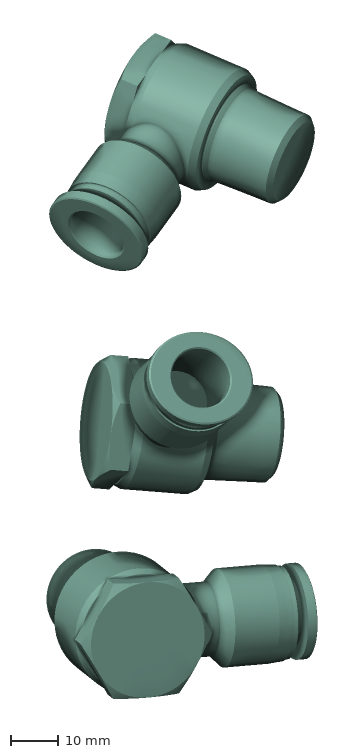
import cadquery as cq
import math


HEAD_ACROSS_FLATS = 25.4
HEAD_ACROSS_CORNERS = HEAD_ACROSS_FLATS / math.cos(math.radians(30))
HEAD_THICKNESS = 5.0
HEAD_BEVEL_ANGLE = 30.0
BOLT_LENGTH = 39.0
SHANK_DIAMETER = 22.0
COLLAR_DIAMETER = 22.4
COLLAR_GAP = 0.3
COLLAR_WIDTH = 0.15
COLLAR_TAPER = 0.95
THREAD_START_DIAMETER = 21.35
THREAD_TAPER = 1 / 16
THREAD_END_CHAMFER = 1.15

BARREL_DIAMETER = 28.0
BARREL_END = 22.6
BARREL_BEVEL_DEPTH = 0.8
HEAD_SIDE_BEVEL_LENGTH = 1.75
THREAD_SIDE_BEVEL_LENGTH = 1.6

BRANCH_X = 12.2
OVERALL_WIDTH = 52.96
BRANCH_LENGTH = OVERALL_WIDTH - HEAD_ACROSS_CORNERS / 2
NECK_DIAMETER = 16.0
SOCKET_DIAMETER = 21.2
SOCKET_START = 20.1
NECK_END = SOCKET_START - (SOCKET_DIAMETER - NECK_DIAMETER) / 2
SOCKET_TAPER_START = 30.0
SOCKET_TAPER_END = 33.1
SOCKET_TAPER_END_DIAMETER = 20.7
LIP_DIAMETER = 20.0
LIP_END = 34.5
LIP_CHAMFER = 0.15
BORE_DIAMETER = 13.0
BORE_BOTTOM = SOCKET_START
RELIEF_END = 15.0

BUTTON_NECK_DIAMETER = 14.8
BUTTON_DEPTH = 5.4
FLANGE_LENGTH_X = 23.0
FLANGE_LENGTH_Z = 20.4
FLANGE_THICKNESS = 2.2
FLANGE_CHAMFER_AXIAL = 0.35
FLANGE_CHAMFER_RADIAL = 0.2
BUTTON_BORE_CHAMFER = 0.3


def branch_plane(distance):
    """Plane across the branch axis at this distance from the bolt axis, facing the tube entry."""
    return cq.Workplane(cq.Plane(origin=(BRANCH_X, -distance, 0), xDir=(1, 0, 0), normal=(0, -1, 0)))


def branch_cylinder(diameter, start, end):
    return branch_plane(start).circle(diameter / 2).extrude(end - start)


def turned_about_bolt_axis(profile):
    """Revolve a list of (x, radius) points about X."""
    return cq.Workplane("XY").polyline(profile).close().revolve(360, (0, 0, 0), (1, 0, 0))


def make_bolt():
    corner_radius = HEAD_ACROSS_CORNERS / 2
    face_radius = HEAD_ACROSS_FLATS / 2
    bevel_length = (corner_radius - face_radius) * math.tan(math.radians(HEAD_BEVEL_ANGLE))
    hexagon = cq.Workplane("YZ").polygon(6, HEAD_ACROSS_CORNERS).extrude(HEAD_THICKNESS)
    bevel_envelope = turned_about_bolt_axis([
        (0, 0),
        (0, face_radius),
        (bevel_length, corner_radius),
        (HEAD_THICKNESS, corner_radius),
        (HEAD_THICKNESS, 0),
    ])
    head = hexagon.intersect(bevel_envelope)

    collar_start = BARREL_END + COLLAR_GAP
    collar_end = collar_start + COLLAR_WIDTH
    thread_start = collar_end + COLLAR_TAPER
    thread_end = BOLT_LENGTH - THREAD_END_CHAMFER
    thread_start_radius = THREAD_START_DIAMETER / 2
    thread_end_radius = thread_start_radius - (thread_end - thread_start) * THREAD_TAPER / 2
    shank = turned_about_bolt_axis([
        (HEAD_THICKNESS, 0),
        (HEAD_THICKNESS, SHANK_DIAMETER / 2),
        (collar_start, SHANK_DIAMETER / 2),
        (collar_start, COLLAR_DIAMETER / 2),
        (collar_end, COLLAR_DIAMETER / 2),
        (thread_start, thread_start_radius),
        (thread_end, thread_end_radius),
        (BOLT_LENGTH, thread_end_radius - THREAD_END_CHAMFER),
        (BOLT_LENGTH, 0),
    ])
    return head.union(shank)


def make_barrel():
    radius = BARREL_DIAMETER / 2
    end_radius = radius - BARREL_BEVEL_DEPTH
    return turned_about_bolt_axis([
        (HEAD_THICKNESS, 0),
        (HEAD_THICKNESS, end_radius),
        (HEAD_THICKNESS + HEAD_SIDE_BEVEL_LENGTH, radius),
        (BARREL_END - THREAD_SIDE_BEVEL_LENGTH, radius),
        (BARREL_END, end_radius),
        (BARREL_END, 0),
    ])


def make_branch():
    lip_radius = LIP_DIAMETER / 2
    profile = [
        (0, 0),
        (NECK_DIAMETER / 2, 0),
        (NECK_DIAMETER / 2, NECK_END),
        (SOCKET_DIAMETER / 2, SOCKET_START),
        (SOCKET_DIAMETER / 2, SOCKET_TAPER_START),
        (SOCKET_TAPER_END_DIAMETER / 2, SOCKET_TAPER_END),
        (lip_radius, SOCKET_TAPER_END),
        (lip_radius, LIP_END - LIP_CHAMFER),
        (lip_radius - LIP_CHAMFER, LIP_END),
        (0, LIP_END),
    ]
    points = [(BRANCH_X + radius, -distance) for radius, distance in profile]
    axis_start = (BRANCH_X, 0, 0)
    axis_end = (BRANCH_X, -1, 0)
    return cq.Workplane("XY").polyline(points).close().revolve(360, axis_start, axis_end)


def make_head_relief():
    """Clearance for the bolt head in the side of the neck, ending in a 45 degree slope."""
    neck_side = BRANCH_X - NECK_DIAMETER / 2
    overhang = HEAD_THICKNESS - neck_side
    outline = [
        (HEAD_THICKNESS, 0),
        (HEAD_THICKNESS, -RELIEF_END),
        (neck_side, -RELIEF_END - overhang),
        (neck_side, 0),
    ]
    return cq.Workplane("XY").polyline(outline).close().extrude(NECK_DIAMETER / 2, both=True)


def make_housing():
    branch = make_branch().cut(make_head_relief())
    bolt_hole = cq.Workplane("YZ").circle(SHANK_DIAMETER / 2).extrude(BARREL_END)
    tube_bore = branch_cylinder(BORE_DIAMETER, BORE_BOTTOM, LIP_END)
    button_recess = branch_cylinder(BUTTON_NECK_DIAMETER, BRANCH_LENGTH - BUTTON_DEPTH, LIP_END)
    return make_barrel().union(branch).cut(bolt_hole).cut(tube_bore).cut(button_recess)


def make_release_button():
    flange_start = BRANCH_LENGTH - FLANGE_THICKNESS
    inner_end = BRANCH_LENGTH - BUTTON_DEPTH
    flange = (
        branch_plane(flange_start)
        .ellipse(FLANGE_LENGTH_X / 2, FLANGE_LENGTH_Z / 2)
        .extrude(FLANGE_THICKNESS)
        .faces("<Y")
        .chamfer(FLANGE_CHAMFER_RADIAL, FLANGE_CHAMFER_AXIAL)
    )
    neck = branch_cylinder(BUTTON_NECK_DIAMETER, inner_end, flange_start)
    bore = branch_cylinder(BORE_DIAMETER, inner_end, BRANCH_LENGTH)
    entry_radius = BORE_DIAMETER / 2 + BUTTON_BORE_CHAMFER
    entry_chamfer = cq.Workplane(obj=cq.Solid.makeCone(
        entry_radius,
        BORE_DIAMETER / 2,
        BUTTON_BORE_CHAMFER,
        pnt=cq.Vector(BRANCH_X, -BRANCH_LENGTH, 0),
        dir=cq.Vector(0, 1, 0),
    ))
    return flange.union(neck).cut(bore).cut(entry_chamfer)


bolt = make_bolt()
housing = make_housing()
release_button = make_release_button()

result = cq.Compound.makeCompound([bolt.val(), housing.val(), release_button.val()])